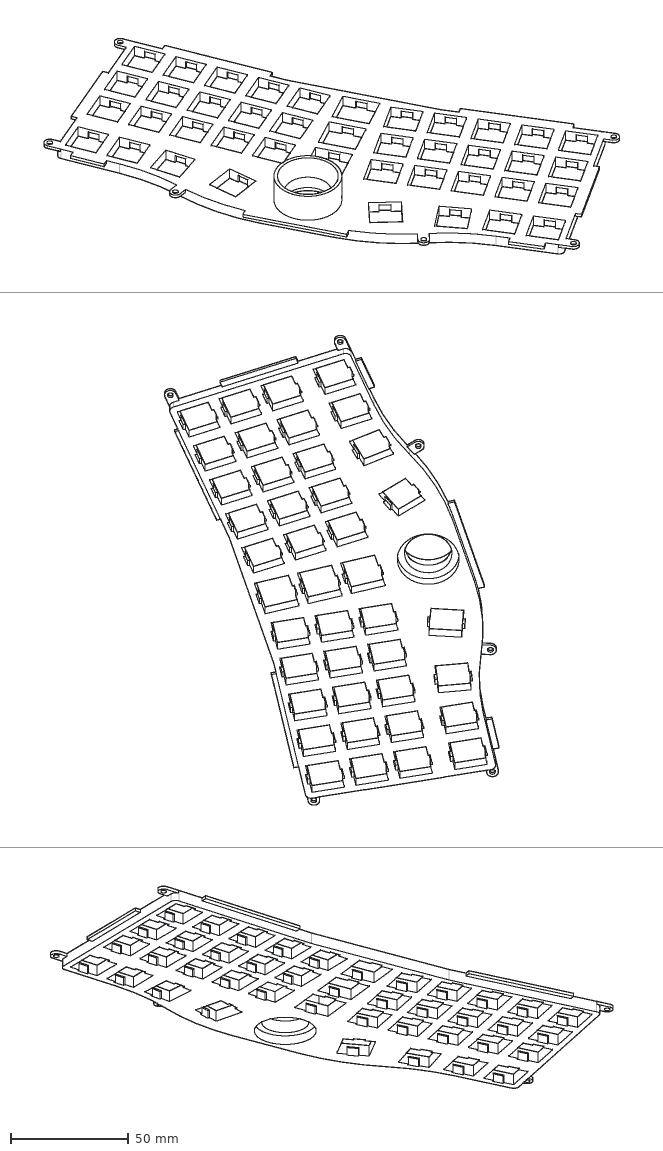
import cadquery as cq
import math

OVERALL_WIDTH = 239.2
OVERALL_DEPTH = 104.3

PLATE_HEIGHT = 5.0
FLANGE_THICKNESS = 1.5
FLANGE_BOTTOM = PLATE_HEIGHT - FLANGE_THICKNESS
CUP_TOP = 17.7

CUP_Y = -0.12
CUP_DIAMETER = 29.0
BALL_RADIUS = 13.0
BORE_DIAMETER = 20.0
UNDERSIDE_RECESS_DIAMETER = 26.3
UNDERSIDE_RECESS_DEPTH = 4.0

ROWS = 3
SIDE_COLUMNS = 5
BOTTOM_COLUMNS = 2
ROW_SPAN = 76.3
KEY_GAP = 5.0
KEY_PITCH = ROW_SPAN / (SIDE_COLUMNS - 1)
KEY_SIZE = KEY_PITCH - KEY_GAP
BOTTOM_ROW_DROP = 1.25 * KEY_PITCH
MIDDLE_KEY_WIDTH = 16.5
MIDDLE_KEY_HEIGHT = 15.0
MIDDLE_TOP_KEY_Y = 67.0
CLIP_WIDTH = 5.0
CLIP_DEPTH = 1.0

CLUSTER_TILT = -5
THUMB_KEYS = [
    (-62.7, 7.0, -10),
    (-34.2, 1.7, -20),
]

EDGE_MARGIN = 10.0
BODY_BOTTOM_V = -72.5
CORNER_RADIUS = 2.5
TOP_EDGE_Y = 78.2
FRONT_EDGE_Y = -15.8
BEND_START_U = 19.4
BEND_END = (-55.0, -7.7)
BOW_END = (-16.7, FRONT_EDGE_Y)

TAB_OVERHANG = 2.6
TOP_TAB = (4.5, 54.3)
SIDE_TAB = (-49.3, -14.5)
BOTTOM_TAB = (-2.2, 13.5)
FRONT_TAB_HALF_WIDTH = 23.2
FRONT_TAB_Y = -18.5

EAR_DIAMETER = 5.0
EAR_HOLE_DIAMETER = 2.5
EAR_U = -13.9
TOP_EAR_V = EDGE_MARGIN - EAR_DIAMETER / 2
BOTTOM_EAR_V = BODY_BOTTOM_V + EAR_DIAMETER / 2
FRONT_EAR = (-55.5, -11.7)
FRONT_EAR_TILT = -20
EAR_REACH = 6.0


def tilted(u, v):
    """Turn an offset along the cluster's rows and columns into one along X and Y."""
    tilt = math.radians(CLUSTER_TILT)
    return u * math.cos(tilt) - v * math.sin(tilt), u * math.sin(tilt) + v * math.cos(tilt)


CLUSTER_X = -OVERALL_WIDTH / 2 + EAR_DIAMETER / 2 - tilted(EAR_U, BOTTOM_EAR_V)[0]
CLUSTER_Y = FRONT_TAB_Y + OVERALL_DEPTH - tilted(TOP_TAB[0], EDGE_MARGIN + TAB_OVERHANG)[1]


def cluster_point(u, v):
    """Place a point of the left cluster in X and Y."""
    x, y = tilted(u, v)
    return CLUSTER_X + x, CLUSTER_Y + y


def box_at(center, width, depth, tilt, bottom, top):
    """Box centred on an X, Y point, turned about Z, between two heights."""
    block = cq.Workplane("XY").rect(width, depth).extrude(top - bottom)
    return block.rotate((0, 0, 0), (0, 0, 1), tilt).translate((center[0], center[1], bottom))


def with_mirror(shape):
    """Join a left-hand shape to its right-hand twin."""
    return shape.union(shape.mirror("YZ"))


def make_body():
    corner_u = -EDGE_MARGIN
    tilt = math.radians(CLUSTER_TILT)
    top_left = cluster_point(corner_u, EDGE_MARGIN)
    bottom_left = cluster_point(corner_u, BODY_BOTTOM_V)
    top_bend_x = top_left[0] + (TOP_EDGE_Y - top_left[1]) / math.tan(tilt)
    half = (
        cq.Workplane("XY")
        .moveTo(0, TOP_EDGE_Y)
        .lineTo(top_bend_x, TOP_EDGE_Y)
        .lineTo(*top_left)
        .lineTo(*bottom_left)
        .lineTo(*cluster_point(BEND_START_U, BODY_BOTTOM_V))
        .tangentArcPoint(BEND_END, relative=False)
        .tangentArcPoint(BOW_END, relative=False)
        .lineTo(0, FRONT_EDGE_Y)
        .close()
        .extrude(PLATE_HEIGHT)
    )
    for u, v in [(corner_u, EDGE_MARGIN), (corner_u, BODY_BOTTOM_V)]:
        corner_edge = cq.selectors.NearestToPointSelector((*cluster_point(u, v), PLATE_HEIGHT / 2))
        half = half.edges("|Z").edges(corner_edge).fillet(CORNER_RADIUS)
    return with_mirror(half)


def flange_box(u_range, v_range):
    """Thin tab on the left cluster, flush with the top of the plate."""
    center = cluster_point(sum(u_range) / 2, sum(v_range) / 2)
    width = u_range[1] - u_range[0]
    depth = v_range[1] - v_range[0]
    return box_at(center, width, depth, CLUSTER_TILT, FLANGE_BOTTOM, PLATE_HEIGHT)


def make_tabs():
    top = flange_box(TOP_TAB, (EDGE_MARGIN - TAB_OVERHANG, EDGE_MARGIN + TAB_OVERHANG))
    side = flange_box((-EDGE_MARGIN - TAB_OVERHANG, -EDGE_MARGIN + TAB_OVERHANG), SIDE_TAB)
    bottom = flange_box(BOTTOM_TAB, (BODY_BOTTOM_V - TAB_OVERHANG, BODY_BOTTOM_V + TAB_OVERHANG))
    front_depth = 2 * TAB_OVERHANG
    front = box_at(
        (0, FRONT_TAB_Y + front_depth / 2),
        2 * FRONT_TAB_HALF_WIDTH,
        front_depth,
        0,
        FLANGE_BOTTOM,
        PLATE_HEIGHT,
    )
    return with_mirror(top.union(side).union(bottom)).union(front)


def make_ear(center, direction):
    """Round-ended lug that reaches from its hole towards the plate; direction is in degrees."""
    angle = math.radians(direction)
    strip_center = (
        center[0] + EAR_REACH / 2 * math.cos(angle),
        center[1] + EAR_REACH / 2 * math.sin(angle),
    )
    end = (
        cq.Workplane("XY", origin=(*center, FLANGE_BOTTOM))
        .circle(EAR_DIAMETER / 2)
        .extrude(FLANGE_THICKNESS)
    )
    return end.union(box_at(strip_center, EAR_REACH, EAR_DIAMETER, direction, FLANGE_BOTTOM, PLATE_HEIGHT))


def make_key_opening(center, width, height, tilt):
    """Through opening with clip recesses below the flange layer."""
    opening = box_at(center, width, height, tilt, 0, PLATE_HEIGHT)
    return opening.union(box_at(center, CLIP_WIDTH, height + 2 * CLIP_DEPTH, tilt, 0, FLANGE_BOTTOM))


ears = [
    (cluster_point(EAR_U, TOP_EAR_V), CLUSTER_TILT),
    (cluster_point(EAR_U, BOTTOM_EAR_V), CLUSTER_TILT),
    (FRONT_EAR, 90 + FRONT_EAR_TILT),
]

keys = [((x, y), tilt) for x, y, tilt in THUMB_KEYS]
for column in range(SIDE_COLUMNS):
    for row in range(ROWS):
        keys.append((cluster_point(column * KEY_PITCH, -row * KEY_PITCH), CLUSTER_TILT))
bottom_row_v = -(ROWS - 1) * KEY_PITCH - BOTTOM_ROW_DROP
for column in range(BOTTOM_COLUMNS):
    keys.append((cluster_point(column * KEY_PITCH, bottom_row_v), CLUSTER_TILT))

result = make_body().union(make_tabs())
for center, direction in ears:
    result = result.union(with_mirror(make_ear(center, direction)))

ear_holes = [center for center, _ in ears]
ear_holes += [(-x, y) for x, y in ear_holes]
result = result.cut(
    cq.Workplane("XY").pushPoints(ear_holes).circle(EAR_HOLE_DIAMETER / 2).extrude(PLATE_HEIGHT)
)

for center, tilt in keys:
    opening = make_key_opening(center, KEY_SIZE, KEY_SIZE, tilt)
    result = result.cut(opening).cut(opening.mirror("YZ"))
for row in range(ROWS):
    center = (0, MIDDLE_TOP_KEY_Y - row * KEY_PITCH)
    result = result.cut(make_key_opening(center, MIDDLE_KEY_WIDTH, MIDDLE_KEY_HEIGHT, 0))

cup_axis = cq.Workplane("XY", origin=(0, CUP_Y, 0))
cup = cup_axis.circle(CUP_DIAMETER / 2).extrude(CUP_TOP)
seat = cq.Workplane("XY").sphere(BALL_RADIUS).translate((0, CUP_Y, CUP_TOP))
bore = cup_axis.circle(BORE_DIAMETER / 2).extrude(CUP_TOP)
underside_recess = cup_axis.circle(UNDERSIDE_RECESS_DIAMETER / 2).extrude(UNDERSIDE_RECESS_DEPTH)
result = result.union(cup).cut(seat).cut(bore).cut(underside_recess)